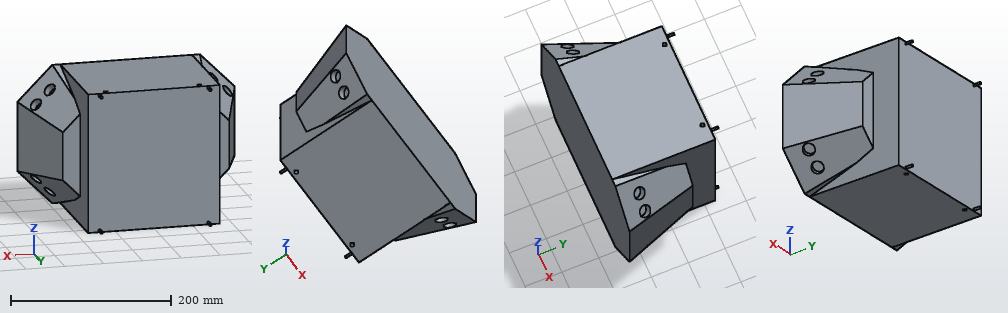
import cadquery as cq
import math

FRONT_WIDTH = 280.0
FRONT_HEIGHT = 180.0
CORNER_CUT = 45.0

BODY_DEPTH = 100.0
BODY_SIDE_INSET = 33.0
DRAFT = math.degrees(math.atan2(BODY_SIDE_INSET, BODY_DEPTH))

BOX_WIDTH = 169.7
BOX_DEPTH = 140.0

PIN_DIAMETER = 3.0
PIN_LENGTH = 10.0
PIN_SPACING_X = 140.0
PIN_SPACING_Z = 175.3

SMALL_HOLE_DIAMETER = 5.0
SMALL_HOLE_DEPTH = 10.0
SMALL_HOLE_SPACING = 120.5
SMALL_HOLE_SETBACK = 7.0

CORNER_HOLE_DIAMETER = 16.0
CORNER_HOLE_DEPTH = 10.0
CORNER_HOLE_Y = 28.3
CORNER_HOLE_SPACING = 25.2
CORNER_HOLE_SHIFT = 5.0


def tapered_body():
    """Octagonal body whose sides all draw inward at one draft angle towards +Y."""
    half_x = FRONT_WIDTH / 2
    half_z = FRONT_HEIGHT / 2
    flat_x = half_x - CORNER_CUT
    flat_z = half_z - CORNER_CUT
    points = [
        (-half_x, -flat_z), (-flat_x, -half_z), (flat_x, -half_z), (half_x, -flat_z),
        (half_x, flat_z), (flat_x, half_z), (-flat_x, half_z), (-half_x, flat_z),
    ]
    plane = cq.Plane(origin=(0, 0, 0), xDir=(-1, 0, 0), normal=(0, 1, 0))
    outline = cq.Workplane(plane).polyline(points).close()
    return outline.extrude(BODY_DEPTH, taper=DRAFT)


def central_box():
    box = cq.Workplane("XY").box(BOX_WIDTH, BOX_DEPTH, FRONT_HEIGHT)
    return box.translate((0, BOX_DEPTH / 2, 0))


def back_pins():
    plane = cq.Plane(origin=(0, BOX_DEPTH, 0), xDir=(-1, 0, 0), normal=(0, 1, 0))
    pins = cq.Workplane(plane).rect(PIN_SPACING_X, PIN_SPACING_Z, forConstruction=True)
    return pins.vertices().circle(PIN_DIAMETER / 2).extrude(PIN_LENGTH)


def small_hole(side_x, side_z):
    entry = cq.Vector(
        side_x * SMALL_HOLE_SPACING / 2,
        BOX_DEPTH - SMALL_HOLE_SETBACK,
        side_z * FRONT_HEIGHT / 2,
    )
    inward = cq.Vector(0, 0, -side_z)
    return cq.Solid.makeCylinder(SMALL_HOLE_DIAMETER / 2, SMALL_HOLE_DEPTH, entry, inward)


def corner_holes(side_x, side_z):
    """Two blind holes on the slanted face of one corner, nearer its outer side."""
    inset = CORNER_HOLE_Y * math.tan(math.radians(DRAFT)) / math.sqrt(2)
    middle_x = (FRONT_WIDTH - CORNER_CUT) / 2 - inset
    middle_z = (FRONT_HEIGHT - CORNER_CUT) / 2 - inset

    slope = math.cos(math.radians(DRAFT)) / math.sqrt(2)
    inward = cq.Vector(-side_x * slope, -math.sin(math.radians(DRAFT)), -side_z * slope)
    clearance = 2.8
    holes = []
    for end in (-1, 1):
        offset = (CORNER_HOLE_SHIFT + end * CORNER_HOLE_SPACING / 2) / math.sqrt(2)
        centre = cq.Vector(
            side_x * (middle_x + offset), CORNER_HOLE_Y, side_z * (middle_z - offset)
        )
        holes.append(cq.Solid.makeCylinder(
            CORNER_HOLE_DIAMETER / 2,
            CORNER_HOLE_DEPTH + clearance,
            centre - inward * clearance,
            inward,
        ))
    return holes


result = tapered_body().union(central_box()).union(back_pins())

for x_sign in (-1, 1):
    for z_sign in (-1, 1):
        result = result.cut(small_hole(x_sign, z_sign))
        for hole in corner_holes(x_sign, z_sign):
            result = result.cut(hole)